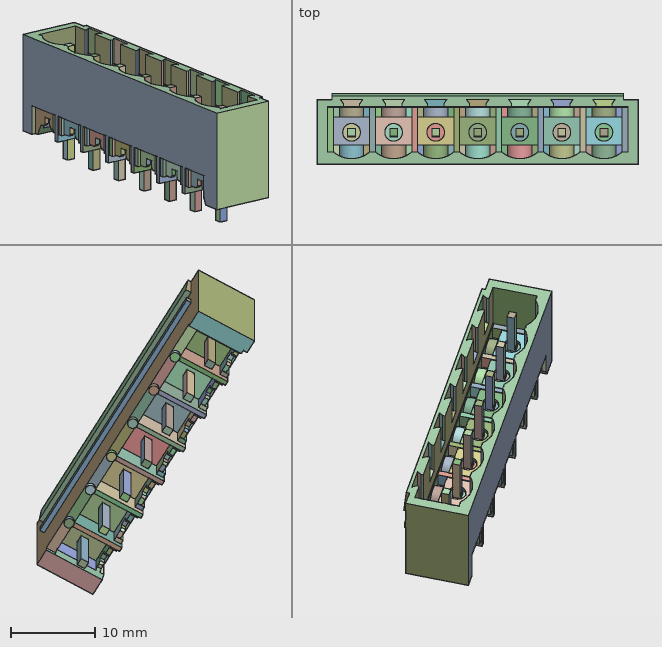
import cadquery as cq


way_count = 7
pitch = 5.0
way_places = [(i - (way_count - 1) / 2) * pitch for i in range(way_count)]
rib_places = [x + pitch / 2 for x in way_places[:-1]]

length = 38.2
depth = 7.7
height = 12.07

side_wall = 1.22
cavity_front = 1.5
cavity_back = 6.9
ledge_back = 6.8
ledge_top = 5.95
scallop_front = 0.7

cell_width = 4.3
floor_top = 4.15
partition_top = 5.85
hump_radius = 1.45
block_front = 2.3
block_back = 5.65
block_top = 5.73
recess_diameter = 2.1
recess_depth = 0.4

slot_floor = 7.85
slot_inner_width = 1.95
slot_outer_width = 2.65
slot_flare_start = 7.22
strip_height = 3.17
strip_top_reach = 0.42
strip_reach = 0.73
bar_reach = 0.6
bar_bottom = 5.95
bar_height = 0.85

end_width = 1.75
pocket_end_width = 2.6
pocket_length = length - 2 * pocket_end_width
opening_top = 3.6
foot_diameter = 1.22
pocket_back = depth - foot_diameter
foot_axis = depth - foot_diameter / 2
panel_front = 0.55
panel_thickness = 0.57
panel_back = panel_front + panel_thickness
panel_bottom = 1.38
leg_foot_inset = 2.2
leg_shoulder_inset = 2.85
back_wall_bottom = 0.6
entry_width = 0.95
entry_top = 2.52
entry_chamfer = 0.3
rib_width = 0.57
rib_bottom = 0.35
wide_rib_width = 1.65
wide_rib_bottom = 1.25
wide_rib_front = 0.15

pin_width = 0.9
pin_front = 3.25
pin_stem_depth = 1.05
pin_tip_depth = 0.9
pin_back = pin_front + pin_stem_depth
pin_axis = pin_back - pin_tip_depth / 2
pin_bottom = -3.15
pin_top = 11.08


def block(x_center, width, y_front, y_back, z_bottom, z_top):
    """Box centred on x_center, placed by its Y and Z limits."""
    size_y = y_back - y_front
    size_z = z_top - z_bottom
    box = cq.Workplane("XY").box(width, size_y, size_z, centered=(True, False, False))
    return box.translate((x_center, y_front, z_bottom))


def scalloped_cell(x):
    """Space of one cell: a rectangle whose front side bulges into the front wall."""
    half = cell_width / 2
    return (
        cq.Workplane("XY", origin=(x, 0, floor_top))
        .moveTo(-half, ledge_back)
        .lineTo(-half, cavity_front)
        .threePointArc((0, scallop_front), (half, cavity_front))
        .lineTo(half, ledge_back)
        .close()
        .extrude(height - floor_top)
    )


def cell_floor(x):
    """Rounded hump along Y, crossed by the block that holds the pin."""
    hump = (
        cq.Workplane("XZ", origin=(x, scallop_front, floor_top))
        .moveTo(-hump_radius, 0)
        .threePointArc((0, hump_radius), (hump_radius, 0))
        .close()
        .extrude(scallop_front - ledge_back)
    )
    holder = block(x, cell_width, block_front, block_back, floor_top, block_top)
    recess = (
        cq.Workplane("XY", origin=(x, pin_axis, block_top))
        .circle(recess_diameter / 2)
        .extrude(-recess_depth)
    )
    return hump.union(holder).cut(recess)


def latch_slot(x):
    """Slot through the back wall, flared toward the outside."""
    inner = slot_inner_width / 2
    outer = slot_outer_width / 2
    outline = [
        (-inner, ledge_back),
        (-inner, slot_flare_start),
        (-outer, depth),
        (outer, depth),
        (inner, slot_flare_start),
        (inner, ledge_back),
    ]
    plane = cq.Workplane("XY", origin=(x, 0, slot_floor))
    return plane.polyline(outline).close().extrude(height - slot_floor)


def latch_strip():
    """Wedge-shaped strip along the top of the back face, closing the latch slots."""
    profile = [
        (depth, height),
        (depth + strip_top_reach, height),
        (depth + strip_reach, height - strip_height),
        (depth, height - strip_height),
    ]
    strip_length = length - 2 * end_width
    start = -strip_length / 2
    return cq.Workplane("YZ", origin=(start, 0, 0)).polyline(profile).close().extrude(strip_length)


def leg_gap():
    """Clearance under the panel, with sloped ends that leave a leg at each end."""
    foot = length / 2 - leg_foot_inset
    shoulder = length / 2 - leg_shoulder_inset
    outline = [(-foot, 0), (-shoulder, panel_bottom), (shoulder, panel_bottom), (foot, 0)]
    return cq.Workplane("XZ").polyline(outline).close().extrude(-pocket_back)


def pin_entry(x):
    """Notch in the front panel at one pin, chamfered at its mouth."""
    half = entry_width / 2
    mouth = half + entry_chamfer
    outline = [
        (-half, entry_top),
        (-half, panel_bottom + entry_chamfer),
        (-mouth, panel_bottom),
        (mouth, panel_bottom),
        (half, panel_bottom + entry_chamfer),
        (half, entry_top),
    ]
    plane = cq.Workplane("XZ", origin=(x, panel_front, 0))
    return plane.polyline(outline).close().extrude(-panel_thickness)


def underside_rib(x):
    """T-shaped rib between two pins, running back into the foot."""
    web = block(x, rib_width, 0, foot_axis, rib_bottom, opening_top)
    flange = block(x, wide_rib_width, wide_rib_front, panel_back, wide_rib_bottom, opening_top)
    return web.union(flange)


def round_foot(x):
    """Round standoff under the back wall."""
    return cq.Workplane("XY", origin=(x, foot_axis, 0)).circle(foot_diameter / 2).extrude(back_wall_bottom)


def make_pin(x):
    """Straight square pin with a slightly deeper stem up to the holder block."""
    stem = block(x, pin_width, pin_front, pin_back, pin_bottom, block_top)
    tip = block(x, pin_width, pin_back - pin_tip_depth, pin_back, block_top, pin_top)
    return stem.union(tip)


def make_housing():
    body = block(0, length, 0, depth, 0, height)

    cavity_length = length - 2 * side_wall
    body = body.cut(block(0, cavity_length, cavity_front, ledge_back, partition_top, height))
    body = body.cut(block(0, cavity_length, cavity_front, cavity_back, ledge_top, height))
    for x in way_places:
        body = body.cut(scalloped_cell(x)).union(cell_floor(x)).cut(latch_slot(x))

    body = body.union(latch_strip())
    bar_top = bar_bottom + bar_height
    body = body.union(block(0, length - 2 * end_width, depth, depth + bar_reach, bar_bottom, bar_top))

    body = body.cut(block(0, pocket_length, panel_back, pocket_back, 0, opening_top))
    body = body.cut(leg_gap())
    gap_length = length - 2 * leg_foot_inset
    body = body.cut(block(0, gap_length, pocket_back, depth, 0, back_wall_bottom))

    opening_length = length - end_width - pocket_end_width
    opening_center = (end_width - pocket_end_width) / 2
    body = body.cut(block(opening_center, opening_length, 0, panel_front, 0, opening_top))

    for x in way_places:
        body = body.cut(pin_entry(x))
    for x in rib_places:
        body = body.union(underside_rib(x)).union(round_foot(x))
    return body


pins = [make_pin(x) for x in way_places]

housing = make_housing()
for pin in pins:
    housing = housing.cut(pin)

result = cq.Compound.makeCompound([housing.val(), *[pin.val() for pin in pins]])